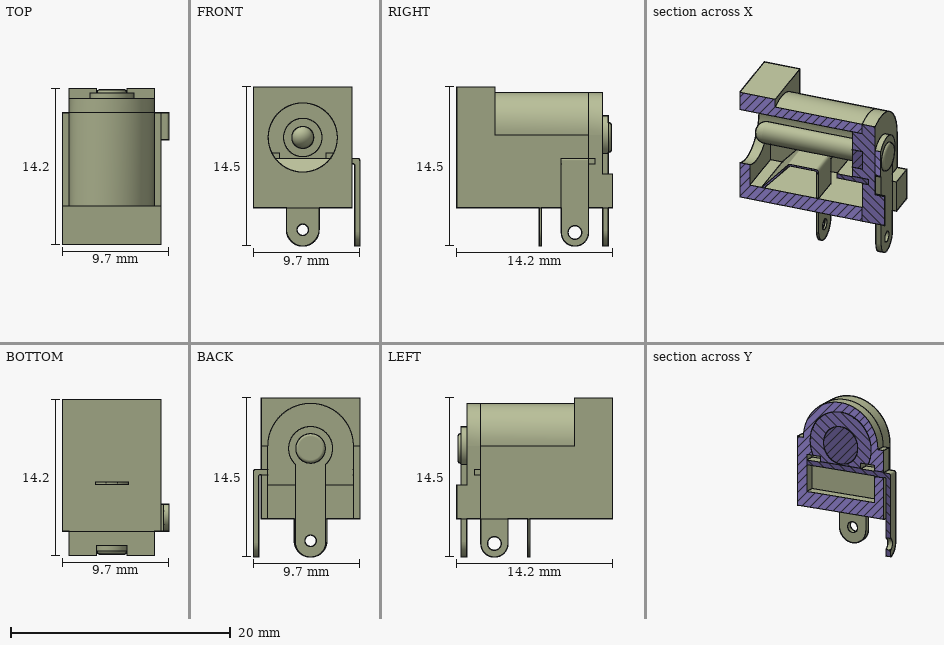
import cadquery as cq
import math


housing_width = 8.99
housing_height = 11.0
housing_length = 12.0
front_block_depth = 3.5
barrel_radius = 3.9
barrel_axis_z = 6.6

bore_diameter = 6.3
bore_axis_z = 6.4
lip_depth = 1.0
cavity_width = 6.99
cavity_floor_z = 1.5
cavity_ceiling_z = 5.0

cap_back_y = 13.27
step_back_y = 14.2
step_height = 3.07
plug_depth = 1.0
plug_tab_width = 4.22

lug_drop = 3.5
lug_hole_diameter = 1.02
lug_hole_z = -2.0

pin_diameter = 2.0
pin_tip_y = 1.0
collar_diameter = 3.5
rivet_head_diameter = 2.7
rivet_head_height = 0.29
rivet_head_rounding = 0.28

ring_diameter = 4.0
rear_strip_width = 2.75
rear_strip_thickness = 0.54

spring_thickness = 0.22
spring_foot_y = 2.15
spring_crease_y = 4.81
spring_lug_width = 3.0
spring_lug_back_y = 7.73
spring_inner_bend = 0.12

side_contact_thickness = 0.5
side_contact_width = 2.5
side_contact_top_z = 4.5
side_contact_overhang = 0.71
side_tab_depth = 0.58
side_hole_diameter = 1.22
side_inner_bend = 0.15
side_outer_bend = 0.2

half_housing = housing_width / 2
half_cavity = cavity_width / 2
contact_outer_x = half_housing + side_contact_overhang
side_contact_bottom_z = side_contact_top_z - side_contact_thickness
side_contact_front_y = housing_length - side_contact_width
plug_front_y = housing_length - plug_depth
ring_back_y = cap_back_y + rear_strip_thickness


def box(x0, x1, y0, y1, z0, z1):
    """Box between two limits on each axis."""
    return cq.Workplane("XY").box(x1 - x0, y1 - y0, z1 - z0, centered=False).translate((x0, y0, z0))


def y_cylinder(diameter, y0, y1, axis_z=bore_axis_z):
    """Cylinder along Y, centered on X = 0."""
    circle = cq.Workplane("XZ", origin=(0, y0, axis_z)).circle(diameter / 2)
    return circle.extrude(y0 - y1)


def barrel(y0, y1):
    """Prism along Y with a half-round top and flat sides down to the underside."""
    sides = box(-barrel_radius, barrel_radius, y0, y1, 0, barrel_axis_z)
    return sides.union(y_cylinder(2 * barrel_radius, y0, y1, barrel_axis_z))


def lug(width, thickness, top_z, hole_diameter, hole_z):
    """Upright strip with a round lower end and a hole, its front face on Y = 0."""
    end_center_z = -lug_drop + width / 2
    strip = box(-width / 2, width / 2, 0, thickness, end_center_z, top_z)
    strip = strip.union(y_cylinder(width, 0, thickness, end_center_z))
    return strip.cut(y_cylinder(hole_diameter, 0, thickness, hole_z))


def round_edge(body, point, radius):
    """Round the edge whose middle lies nearest to a point."""
    return body.edges(cq.selectors.NearestToPointSelector(point)).fillet(radius)


def make_pin():
    """Round-nosed pin with a collar in the plug and a rivet head behind the rear contact."""
    radius = pin_diameter / 2
    nose_center_y = pin_tip_y + radius
    nose = cq.Workplane("XY").sphere(radius).translate((0, nose_center_y, bore_axis_z))
    shank = y_cylinder(pin_diameter, nose_center_y, ring_back_y)
    collar = y_cylinder(collar_diameter, plug_front_y, housing_length)
    head = y_cylinder(rivet_head_diameter, ring_back_y, ring_back_y + rivet_head_height)
    head = head.faces(">Y").edges().fillet(rivet_head_rounding)
    return nose.union(shank).union(collar).union(head)


def make_rear_contact():
    """Ring riveted on the pin, with a strip running down to a lug."""
    strip = lug(rear_strip_width, rear_strip_thickness, bore_axis_z, lug_hole_diameter, lug_hole_z)
    ring = y_cylinder(ring_diameter, cap_back_y, ring_back_y)
    contact = ring.union(strip.translate((0, cap_back_y, 0)))
    return contact.cut(y_cylinder(pin_diameter, cap_back_y, ring_back_y))


def make_spring_contact():
    """Sheet that slopes up from the cavity floor, runs level, then turns down to a lug."""
    top_z = side_contact_top_z
    under_z = top_z - spring_thickness
    stub_bottom_z = under_z - spring_thickness
    lug_front_y = spring_lug_back_y - spring_thickness
    slope = math.atan2(top_z - cavity_floor_z, spring_crease_y - spring_foot_y)
    under_foot_y = spring_foot_y + spring_thickness / math.sin(slope)
    under_crease_y = spring_crease_y + spring_thickness * math.tan(slope / 2)
    profile = [
        (spring_foot_y, cavity_floor_z),
        (spring_crease_y, top_z),
        (spring_lug_back_y, top_z),
        (spring_lug_back_y, stub_bottom_z),
        (lug_front_y, stub_bottom_z),
        (lug_front_y, under_z),
        (under_crease_y, under_z),
        (under_foot_y, cavity_floor_z),
    ]
    sheet = cq.Workplane("YZ").polyline(profile).close().extrude(half_cavity, both=True)
    outer_bend = spring_inner_bend + spring_thickness
    sheet = round_edge(sheet, (0, spring_crease_y, top_z), outer_bend)
    sheet = round_edge(sheet, (0, spring_lug_back_y, top_z), outer_bend)
    sheet = round_edge(sheet, (0, under_crease_y, under_z), spring_inner_bend)
    sheet = round_edge(sheet, (0, lug_front_y, under_z), spring_inner_bend)
    strip = lug(spring_lug_width, spring_thickness, stub_bottom_z, lug_hole_diameter, lug_hole_z)
    return sheet.union(strip.translate((0, lug_front_y, 0)))


def make_side_contact():
    """Plate across the cavity that leaves through the +X wall and bends down to a lug."""
    lug_center_y = housing_length - side_contact_width / 2
    lug_inner_x = contact_outer_x - side_contact_thickness
    plate = box(
        -half_cavity, contact_outer_x, side_contact_front_y, housing_length,
        side_contact_bottom_z, side_contact_top_z,
    )
    tab = box(
        -barrel_radius, barrel_radius, housing_length, housing_length + side_tab_depth,
        side_contact_bottom_z, side_contact_top_z,
    )
    hole_z = -lug_drop + side_contact_width / 2
    strip = lug(
        side_contact_width, side_contact_thickness, side_contact_top_z, side_hole_diameter, hole_z
    )
    strip = strip.rotate((0, 0, 0), (0, 0, 1), 90)
    strip = strip.translate((contact_outer_x, lug_center_y, 0))
    contact = plate.union(strip)
    contact = round_edge(
        contact, (contact_outer_x, lug_center_y, side_contact_top_z), side_outer_bend
    )
    contact = round_edge(
        contact, (lug_inner_x, lug_center_y, side_contact_bottom_z), side_inner_bend
    )
    return contact.union(tab)


def make_cap(pin, side_contact):
    """Rear cap with a slotted step behind and a plug that closes the bore in front."""
    plate = barrel(housing_length, cap_back_y)
    step = box(-barrel_radius, barrel_radius, cap_back_y, step_back_y, 0, step_height)
    strip_slot = box(
        -rear_strip_width / 2, rear_strip_width / 2, cap_back_y, step_back_y, 0, step_height
    )
    bore_top_z = bore_axis_z + bore_diameter / 2
    above_cavity = box(
        -barrel_radius, barrel_radius, plug_front_y, housing_length, cavity_ceiling_z, bore_top_z
    )
    center_tab = box(
        -plug_tab_width / 2, plug_tab_width / 2, plug_front_y, housing_length,
        side_contact_top_z, cavity_ceiling_z,
    )
    plug = y_cylinder(bore_diameter, plug_front_y, housing_length)
    plug = plug.intersect(above_cavity.union(center_tab))
    cap = plate.union(step.cut(strip_slot)).union(plug)
    return cap.cut(pin).cut(side_contact)


def make_housing(spring_contact, side_contact):
    """Front block, barrel and side walls, hollowed by the bore and the spring cavity."""
    block = box(-half_housing, half_housing, 0, front_block_depth, 0, housing_height)
    walls = box(-half_housing, half_housing, 0, housing_length, 0, barrel_axis_z)
    bore = y_cylinder(bore_diameter, 0, housing_length)
    cavity = box(
        -half_cavity, half_cavity, lip_depth, housing_length, cavity_floor_z, cavity_ceiling_z
    )
    housing = block.union(walls).union(barrel(0, housing_length)).cut(bore).cut(cavity)
    return housing.cut(spring_contact).cut(side_contact)


pin = make_pin()
rear_contact = make_rear_contact()
spring_contact = make_spring_contact()
side_contact = make_side_contact()
cap = make_cap(pin, side_contact)
housing = make_housing(spring_contact, side_contact)

result = cq.Compound.makeCompound([
    housing.val(),
    cap.val(),
    pin.val(),
    rear_contact.val(),
    spring_contact.val(),
    side_contact.val(),
])